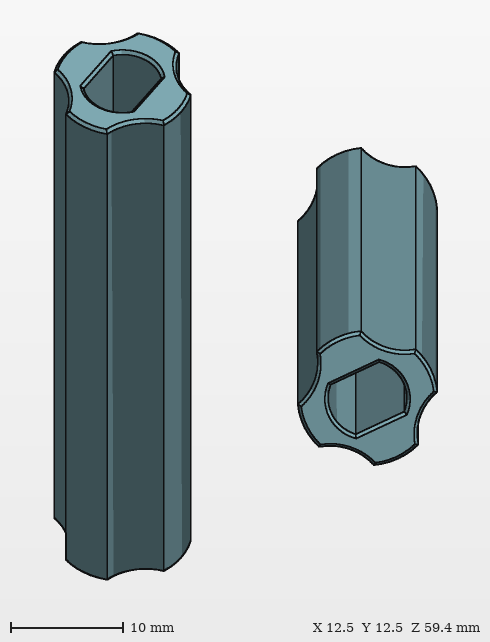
import cadquery as cq
import math

length = 59.4
outer_radius = 6.25
lobe_half_width = 2.2
flute_floor_radius = 5.0
lobe_count = 4
bore_radius = 3.5
bore_half_flat = 2.55
edge_chamfer = 0.3

lobe_pitch = 360.0 / lobe_count
lobe_half_angle = math.degrees(math.asin(lobe_half_width / outer_radius))


def polar_point(radius, angle):
    """Point at a distance from the axis and an angle in degrees from +X."""
    return (radius * math.cos(math.radians(angle)), radius * math.sin(math.radians(angle)))


def make_fluted_bar():
    """Bar with round lobes on the X and Y axes and concave flutes between them."""
    outline = cq.Workplane("XY").moveTo(*polar_point(outer_radius, -lobe_half_angle))
    for index in range(lobe_count):
        crest = index * lobe_pitch
        flute = crest + lobe_pitch / 2
        next_lobe = crest + lobe_pitch
        outline = outline.threePointArc(
            polar_point(outer_radius, crest),
            polar_point(outer_radius, crest + lobe_half_angle),
        )
        outline = outline.threePointArc(
            polar_point(flute_floor_radius, flute),
            polar_point(outer_radius, next_lobe - lobe_half_angle),
        )
    return outline.close().extrude(length)


def make_bore():
    """Through bore: round at the Y ends, with two flats facing X."""
    cylinder = cq.Workplane("XY").circle(bore_radius).extrude(length)
    flats = cq.Workplane("XY").rect(2 * bore_half_flat, 2 * bore_radius).extrude(length)
    return cylinder.intersect(flats)


result = make_fluted_bar().cut(make_bore()).faces("<Z or >Z").chamfer(edge_chamfer)